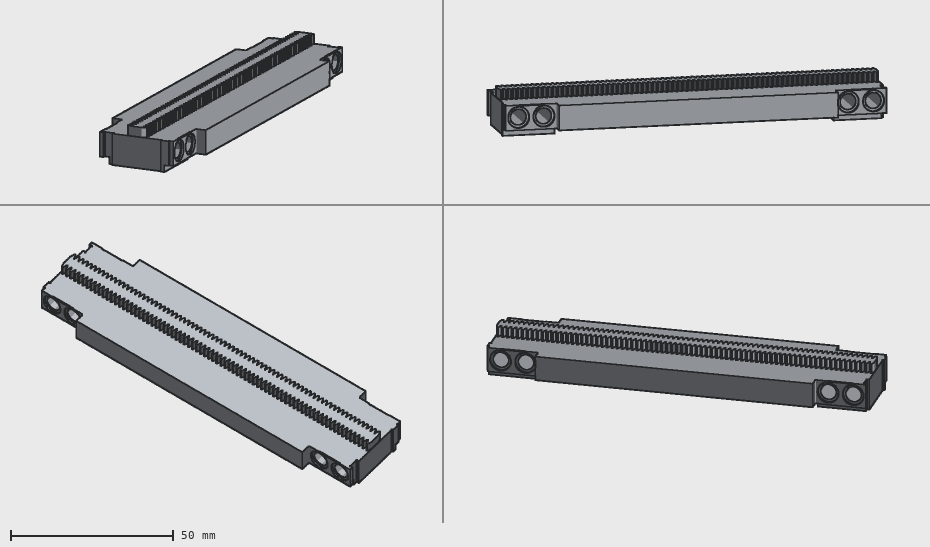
import cadquery as cq

total_length = 120.8
total_height = 13.2
body_width = 31.8

body_length = 120.0
wide_length = 88.0
end_width = 25.1
body_height = 7.9
foot_height = 2.2
foot_width = 19.3
corner_fillet = 0.2
end_length = (body_length - wide_length) / 2
body_top = foot_height + body_height

tooth_count = 76
rib_width = 6.5
tooth_depth = 1.6
tip_width = 0.42
root_width = 0.18

key_offset = 9.8
key_width = 2.8
key_height = (total_length - body_length) / 2
keyway_width = 3.1
keyway_depth = 0.8
relief_radius = 0.18

hole_diameter = 5.0
counterbore_diameter = 6.6
counterbore_depth = 0.7
hole_pitch = 8.0
outer_hole_y = 55.9
hole_height = 6.2

edge_bevel = 0.2


def block(width, length, height, base, x=0, y=0):
    """Box centred on (x, y) and standing on the level base."""
    return cq.Workplane("XY").box(width, length, height, centered=(True, True, False)).translate((x, y, base))


def make_body():
    """Narrow bar and wide middle with filleted inner corners, plus the two feet."""
    body = block(end_width, body_length, body_height, foot_height)
    body = body.union(block(body_width, wide_length, body_height, foot_height))
    on_step_faces = cq.selectors.BoxSelector(
        (-end_width / 2 - corner_fillet, -wide_length / 2 - corner_fillet, 0),
        (end_width / 2 + corner_fillet, wide_length / 2 + corner_fillet, total_height),
    )
    body = body.edges("|Z").edges(on_step_faces).fillet(corner_fillet)
    foot_y = (body_length - end_length) / 2
    for side in (-1, 1):
        body = body.union(block(foot_width, end_length, foot_height, 0, y=side * foot_y))
    return body


def make_rib():
    """Rib with trapezoidal teeth along both long sides."""
    pitch = body_length / tooth_count
    flank = (pitch - tip_width - root_width) / 2
    tip_x = rib_width / 2
    root_x = tip_x - tooth_depth
    right_side = []
    for i in range(tooth_count):
        start = -body_length / 2 + i * pitch + root_width / 2
        right_side += [
            (root_x, start),
            (tip_x, start + flank),
            (tip_x, start + flank + tip_width),
            (root_x, start + 2 * flank + tip_width),
        ]
    left_side = [(-x, y) for x, y in reversed(right_side)]
    rib = cq.Workplane("XY").workplane(offset=body_top)
    return rib.polyline(right_side + left_side).close().extrude(total_height - body_top)


def make_key(x, end_y):
    """Key sunk halfway into the end face; below the body it stops flush with the foot's side."""
    key = block(key_width, 2 * key_height, body_top, 0, x, end_y)
    foot_envelope = block(foot_width, 2 * total_length, foot_height, 0)
    body_envelope = block(body_width, 2 * total_length, body_height, foot_height)
    return key.intersect(foot_envelope.union(body_envelope))


def make_keyway(x, end_y):
    """Cutter for a slot over the full height of the end face."""
    return block(keyway_width, 2 * keyway_depth, body_top, 0, x, end_y)


def make_reliefs(x, y, width):
    """Round cutters at the two inner corners of a key or keyway."""
    corners = [(x - width / 2, y), (x + width / 2, y)]
    return cq.Workplane("XY").pushPoints(corners).circle(relief_radius).extrude(body_top)


def cross_holes():
    """Through holes along X, counterbored on both narrow sides."""
    inner_hole_y = outer_hole_y - hole_pitch
    centres = [(y, hole_height) for y in (-outer_hole_y, -inner_hole_y, inner_hole_y, outer_hole_y)]
    plane = cq.Workplane("YZ").pushPoints(centres)
    holes = plane.circle(hole_diameter / 2).extrude(end_width / 2, both=True)
    rims = plane.circle(counterbore_diameter / 2).extrude(end_width / 2, both=True)
    core = block(end_width - 2 * counterbore_depth, total_length, total_height, 0)
    return holes.union(rims.cut(core))


def edge_bevel_cutter(side_x, side_y):
    """Triangular prism from hole centre to hole centre along one upper side edge."""
    edge_x = side_x * end_width / 2
    points = [
        (edge_x, body_top),
        (edge_x - side_x * edge_bevel, body_top),
        (edge_x, body_top - edge_bevel),
    ]
    middle_y = side_y * (outer_hole_y - hole_pitch / 2)
    prism = cq.Workplane("XZ").polyline(points).close().extrude(hole_pitch / 2, both=True)
    return prism.translate((0, middle_y, 0))


result = make_body()
for side in (-1, 1):
    end_y = side * body_length / 2
    floor_y = end_y - side * keyway_depth
    key_x = -side * key_offset
    result = result.union(make_key(key_x, end_y))
    result = result.cut(make_reliefs(key_x, end_y, key_width))
    result = result.cut(make_keyway(-key_x, end_y))
    result = result.cut(make_reliefs(-key_x, floor_y, keyway_width))
result = result.cut(cross_holes())
for side_x in (-1, 1):
    for side_y in (-1, 1):
        result = result.cut(edge_bevel_cutter(side_x, side_y))
result = result.union(make_rib())